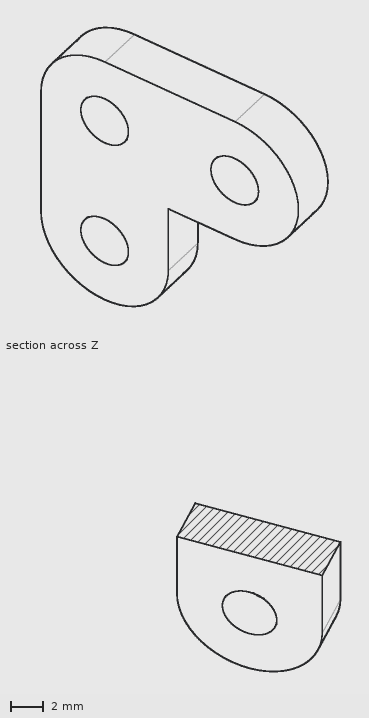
import cadquery as cq

overall_size = 19.3
arm_width = 9.55
thickness = 3.17
hole_diameter = 3.57

hole_pitch = overall_size - arm_width

corner_center = (0, 0)
side_arm_center = (hole_pitch, 0)
lower_arm_center = (0, -hole_pitch)


def rounded_arm(center, angle):
    """Round-ended arm from the corner hole to an end hole, extruded along Y."""
    middle = (center[0] / 2, center[1] / 2)
    return (
        cq.Workplane("XZ")
        .center(*middle)
        .slot2D(overall_size, arm_width, angle)
        .extrude(thickness)
    )


plate = rounded_arm(side_arm_center, 0).union(rounded_arm(lower_arm_center, 90))

holes = (
    cq.Workplane("XZ")
    .pushPoints([corner_center, side_arm_center, lower_arm_center])
    .circle(hole_diameter / 2)
    .extrude(thickness)
)

result = plate.cut(holes).clean()